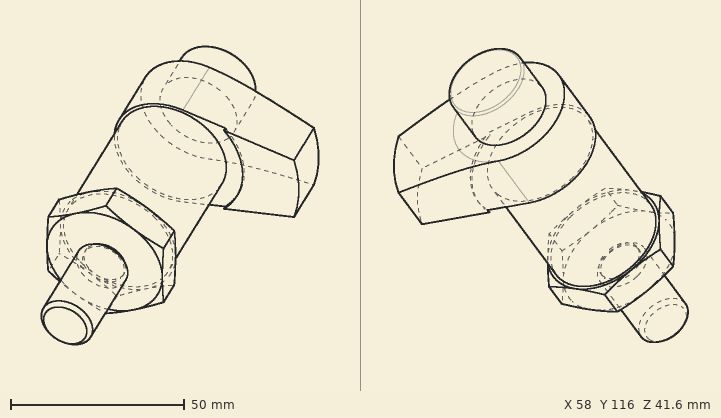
import cadquery as cq
import math

total_length = 116.0
overlap = 1.2

stud_dia = 16.0
neck_dia = 13.0
stud_tip_chamfer = 1.3
stud_shoulder = 28.0
neck_start = 28.9

hex_bottom = 29.9
hex_top = 40.0
hex_flats = 36.0
hex_face_dia = hex_flats
hex_bevel_depth = 0.9

sleeve_dia = 34.0
cap_dia = 24.0
cap_rounding = 0.7

hub_radius = hex_flats / 2
hub_bottom = 81.0
hub_top = 101.0
lever_reach = 40.0
lever_bottom = 79.9
lever_tip_top = 95.1
lever_side_angle = math.radians(10.8)
relief_radius = 22.5


def turned(profile):
    """Revolve a closed (radius, height) outline about the Y axis."""
    return cq.Workplane("XY").polyline(profile).close().revolve(360, (0, 0), (0, 1))


def cylinder(diameter, bottom, top):
    radius = diameter / 2
    return turned([(0, bottom), (radius, bottom), (radius, top), (0, top)])


def make_stud():
    radius = stud_dia / 2
    neck_radius = neck_dia / 2
    return turned([
        (0, 0),
        (radius - stud_tip_chamfer, 0),
        (radius, stud_tip_chamfer),
        (radius, stud_shoulder),
        (neck_radius, neck_start),
        (neck_radius, hex_bottom + overlap),
        (0, hex_bottom + overlap),
    ])


def make_hex():
    """Hexagon with corners along Z, its two ends bevelled by a common cone."""
    corner_radius = hex_flats / math.sqrt(3)
    corners = []
    for index in range(6):
        angle = math.radians(90 + 60 * index)
        corners.append((corner_radius * math.cos(angle), corner_radius * math.sin(angle)))
    prism = (
        cq.Workplane("XZ", origin=(0, hex_bottom, 0))
        .polyline(corners)
        .close()
        .extrude(hex_bottom - hex_top)
    )
    face_radius = hex_face_dia / 2
    bevel = turned([
        (0, hex_bottom),
        (face_radius, hex_bottom),
        (corner_radius, hex_bottom + hex_bevel_depth),
        (corner_radius, hex_top - hex_bevel_depth),
        (face_radius, hex_top),
        (0, hex_top),
    ])
    return prism.intersect(bevel)


def make_lever():
    """Hub with a tapering arm whose sides are tangent to it and whose top slopes as a cone."""
    tangent_x = hub_radius * math.sin(lever_side_angle)
    tangent_z = hub_radius * math.cos(lever_side_angle)
    tip_angle = math.pi / 2 - lever_side_angle - math.acos(hub_radius / lever_reach)
    tip_x = lever_reach * math.cos(tip_angle)
    tip_z = lever_reach * math.sin(tip_angle)
    plan = (
        cq.Workplane("XZ", origin=(0, lever_bottom, 0))
        .moveTo(tangent_x, tangent_z)
        .lineTo(tip_x, tip_z)
        .threePointArc((lever_reach, 0), (tip_x, -tip_z))
        .lineTo(tangent_x, -tangent_z)
        .threePointArc((-hub_radius, 0), (tangent_x, tangent_z))
        .close()
        .extrude(lever_bottom - hub_top)
    )
    height_limits = turned([
        (0, hub_bottom),
        (relief_radius, hub_bottom),
        (relief_radius, lever_bottom),
        (lever_reach, lever_bottom),
        (lever_reach, lever_tip_top),
        (hub_radius, hub_top),
        (0, hub_top),
    ])
    return plan.intersect(height_limits)


sleeve = cylinder(sleeve_dia, hex_top - overlap, hub_bottom + overlap)
cap = cylinder(cap_dia, hub_top - overlap, total_length).faces(">Y").fillet(cap_rounding)

result = make_stud().union(make_hex()).union(sleeve).union(make_lever()).union(cap)